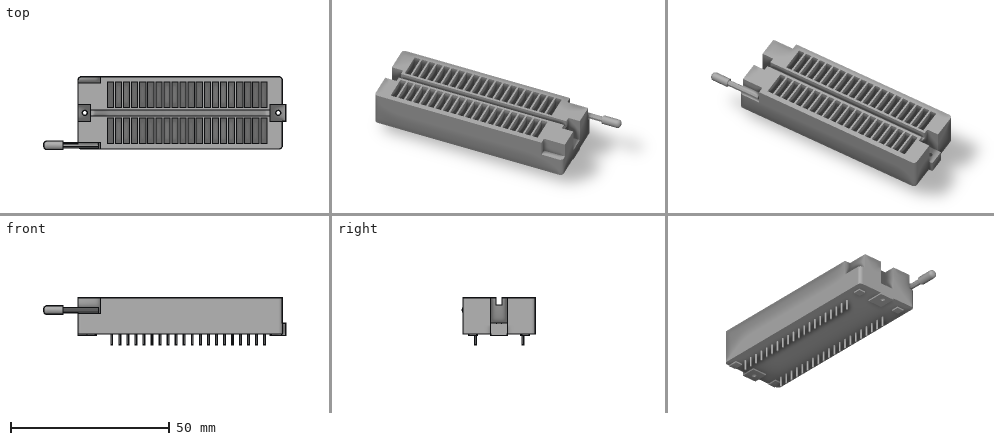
import cadquery as cq
import math


body_length = 64.5
body_width = 22.86
body_height = 11.5
corner_radius = 1.15
left_end = -body_length / 2
right_end = body_length / 2
front_side = -body_width / 2

channel_width = 1.84
channel_depth = 2.3

notch_width = 5.3
notch_length = 3.9
notch_depth = 8.05
mount_hole_diameter = 1.5
left_hole_inset = 2.15
right_hole_inset = 1.3
tab_overhang = 1.1

recess_length = 7.15
recess_width = 2.06
recess_depth = 5.05

contacts_per_row = 20
slot_pitch = 2.55
slot_length = 8.0
slot_width = 1.95
slot_depth = recess_depth
slot_row_offset = 5.7
first_slot_inset = 10.22
pin_pitch = 2.54
pin_diameter = 0.61
pin_length = 3.4
pin_row_offset = 7.5
first_pin_inset = 10.66

pad_height = 0.5
left_pad_length = 5.8
foot_width = 2.5
left_foot_length = 2.5
left_foot_inset = 2.8
right_foot_length = 3.2
right_foot_inset = 0.25
left_foot_offset = 8.05
right_foot_offset = 8.35

overall_length = 76.44
rod_sides = 8
rod_flats = 1.75
rod_drop = 3.95
rod_end_gap = 0.7
knob_diameter = 2.77
knob_length = 6.15
knob_tip_diameter = 0.6
lever_y = front_side + recess_width - rod_flats / 2
lever_z = body_height - rod_drop
knob_end = right_end + tab_overhang - overall_length
rod_end = left_end + recess_length - rod_end_gap


def block(x_start, x_end, y_start, y_end, z_start, z_end):
    """Box between the given limits."""
    size = (x_end - x_start, y_end - y_start, z_end - z_start)
    return cq.Workplane("XY").box(*size, centered=False).translate((x_start, y_start, z_start))


def contact_points(first_inset, pitch, row_offset):
    """Centres of both rows of contacts."""
    first_x = left_end + first_inset
    return [(first_x + i * pitch, side * row_offset) for i in range(contacts_per_row) for side in (-1, 1)]


def make_body():
    body = cq.Workplane("XY").box(body_length, body_width, body_height, centered=(True, True, False))
    body = body.edges("|Z").fillet(corner_radius)
    half_channel = channel_width / 2
    half_notch = notch_width / 2
    notch_floor = body_height - notch_depth
    recess_floor = body_height - recess_depth
    recess_end = left_end + recess_length
    recess_wall = body_width / 2 - recess_width
    channel_floor = body_height - channel_depth
    body = body.cut(block(left_end, right_end, -half_channel, half_channel, channel_floor, body_height))
    for start, end in ((left_end, left_end + notch_length), (right_end - notch_length, right_end)):
        body = body.cut(block(start, end, -half_notch, half_notch, notch_floor, body_height))
    for start, end in ((front_side, -recess_wall), (recess_wall, body_width / 2)):
        body = body.cut(block(left_end, recess_end, start, end, recess_floor, body_height))
    return body


def make_slots():
    return (
        cq.Workplane("XY", origin=(0, 0, body_height))
        .pushPoints(contact_points(first_slot_inset, slot_pitch, slot_row_offset))
        .rect(slot_width, slot_length)
        .extrude(-slot_depth)
    )


def make_pins():
    return (
        cq.Workplane("XY")
        .pushPoints(contact_points(first_pin_inset, pin_pitch, pin_row_offset))
        .circle(pin_diameter / 2)
        .extrude(-pin_length)
    )


def make_feet():
    """Corner feet and the central pad at the left end."""
    half_pad = notch_width / 2
    feet = block(left_end, left_end + left_pad_length, -half_pad, half_pad, -pad_height, 0)
    left_x = left_end + left_foot_inset + left_foot_length / 2
    right_x = right_end - right_foot_inset - right_foot_length / 2
    for x, length, offset in (
        (left_x, left_foot_length, left_foot_offset),
        (right_x, right_foot_length, right_foot_offset),
    ):
        for y in (-offset, offset):
            foot = cq.Workplane("XY").center(x, y).rect(length, foot_width).extrude(-pad_height)
            feet = feet.union(foot)
    return feet


def make_tab():
    """Pad under the right notch that reaches past the body, level with the notch floor."""
    half_tab = notch_width / 2
    tab_top = body_height - notch_depth
    tab_end = right_end + tab_overhang
    pad = block(right_end - notch_length, tab_end, -half_tab, half_tab, -pad_height, 0)
    return pad.union(block(right_end, tab_end, -half_tab, half_tab, -pad_height, tab_top))


def make_mount_holes():
    return (
        cq.Workplane("XY", origin=(0, 0, -pad_height))
        .pushPoints([(left_end + left_hole_inset, 0), (right_end - right_hole_inset, 0)])
        .circle(mount_hole_diameter / 2)
        .extrude(body_height + pad_height)
    )


def make_lever():
    knob_plane = cq.Workplane("YZ", origin=(knob_end, lever_y, lever_z))
    tip_radius = (knob_diameter - knob_tip_diameter) / 2
    knob = knob_plane.circle(knob_diameter / 2).extrude(knob_length).faces("<X").edges().fillet(tip_radius)
    rod_corners = rod_flats / math.cos(math.pi / rod_sides)
    rod_plane = cq.Workplane("YZ", origin=(knob_end + knob_length, lever_y, lever_z))
    rod_plane = rod_plane.transformed(rotate=(0, 0, 180 / rod_sides))
    rod = rod_plane.polygon(rod_sides, rod_corners).extrude(rod_end - knob_end - knob_length)
    web_top = lever_z + rod_flats / 2
    web = block(left_end, rod_end, lever_y, front_side + recess_width, lever_z, web_top)
    return knob.union(rod).union(web)


result = make_body().cut(make_slots())
result = result.union(make_pins()).union(make_feet()).union(make_tab())
result = result.cut(make_mount_holes()).union(make_lever())